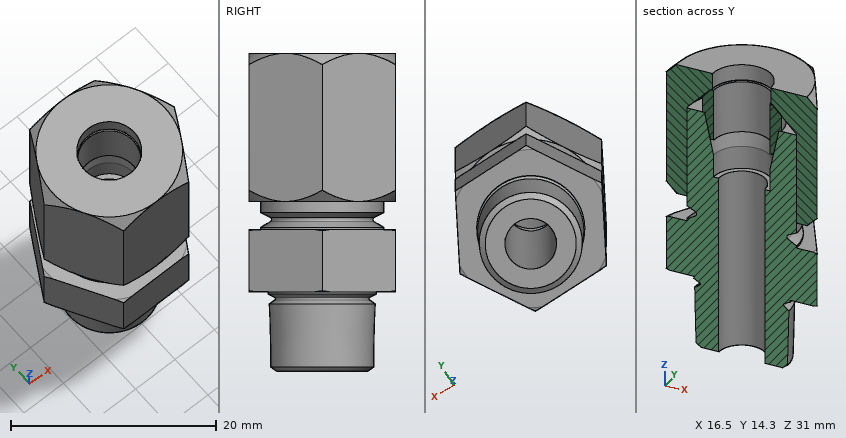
import cadquery as cq
import math

total_height = 31.0
across_flats = 14.3
across_corners = across_flats / math.cos(math.radians(30))
tube_clearance_radius = 3.07
flow_radius = 2.5
thread_radius = 6.0

pipe_end_radius = 4.43
pipe_small_radius = 5.02
pipe_large_radius = 5.18
pipe_chamfer_top = 0.43
pipe_top = 6.57

relief_edge_radius = 4.62
relief_root_radius = 4.55
relief_bottom = 6.98
relief_top = 7.2
collar_radius = 5.27
collar_bottom = 7.53

body_hex_bottom = 7.75
body_hex_top = 13.83
body_hex_face_radius = 7.85
body_hex_chamfer = 0.12

neck_edge_radius = 5.05
neck_root_radius = 4.95
stem_foot_top = 14.05
neck_bottom = 14.6
neck_top = 15.0
stem_thread_bottom = 15.47

nut_bottom = 16.55
nut_face_radius = across_flats / 2
nut_chamfer = across_corners / 2 - nut_face_radius
nut_bore_radius = 3.15

nut_seat_top = 29.3
ferrule_top = 29.15
ferrule_radius = 4.35
ferrule_nose_bottom = 23.55
seat_mouth_radius = 4.03
seat_half_angle = 12.0
tube_stop = 19.47

stem_top = nut_seat_top - (thread_radius - nut_bore_radius)
ferrule_shoulder = nut_seat_top - (ferrule_radius - nut_bore_radius)
ferrule_top_radius = nut_bore_radius + nut_seat_top - ferrule_top
seat_slope = math.tan(math.radians(seat_half_angle))
seat_depth = (seat_mouth_radius - tube_clearance_radius) / seat_slope
ferrule_nose_radius = seat_mouth_radius - (stem_top - ferrule_nose_bottom) * seat_slope


def revolve_profile(points):
    """Turn a closed outline of (radius, height) points about the Z axis."""
    return cq.Workplane("XZ").polyline(points).close().revolve(360, (0, 0), (0, 1))


def chamfered_hexagon(bottom, top, face_radius, chamfer):
    """Hexagonal prism whose corners are turned off conically at both ends."""
    prism = cq.Workplane("XY").workplane(offset=bottom).polygon(6, across_corners).extrude(top - bottom)
    corner_radius = across_corners / 2
    turning = revolve_profile([
        (0, bottom),
        (face_radius, bottom),
        (corner_radius, bottom + chamfer),
        (corner_radius, top - chamfer),
        (face_radius, top),
        (0, top),
    ])
    return prism.intersect(turning)


def make_body():
    """Pipe thread, hexagon and threaded stem in one piece, bored through."""
    pipe_end = (
        cq.Workplane("XZ")
        .lineTo(pipe_end_radius, 0)
        .lineTo(pipe_small_radius, pipe_chamfer_top)
        .lineTo(pipe_large_radius, pipe_top)
        .lineTo(relief_edge_radius, relief_bottom)
        .threePointArc(
            (relief_root_radius, (relief_bottom + relief_top) / 2),
            (relief_edge_radius, relief_top),
        )
        .lineTo(collar_radius, collar_bottom)
        .lineTo(collar_radius, body_hex_bottom)
        .lineTo(0, body_hex_bottom)
        .close()
        .revolve(360, (0, 0), (0, 1))
    )
    hexagon = chamfered_hexagon(body_hex_bottom, body_hex_top, body_hex_face_radius, body_hex_chamfer)
    stem = (
        cq.Workplane("XZ")
        .moveTo(0, body_hex_top)
        .lineTo(thread_radius, body_hex_top)
        .lineTo(thread_radius, stem_foot_top)
        .lineTo(neck_edge_radius, neck_bottom)
        .threePointArc(
            (neck_root_radius, (neck_bottom + neck_top) / 2),
            (neck_edge_radius, neck_top),
        )
        .lineTo(thread_radius, stem_thread_bottom)
        .lineTo(thread_radius, stem_top)
        .lineTo(0, stem_top)
        .close()
        .revolve(360, (0, 0), (0, 1))
    )
    passage = revolve_profile([
        (0, 0),
        (flow_radius, 0),
        (flow_radius, tube_stop),
        (tube_clearance_radius, tube_stop),
        (tube_clearance_radius, stem_top - seat_depth),
        (seat_mouth_radius, stem_top),
        (0, stem_top),
    ])
    return pipe_end.union(hexagon).union(stem).cut(passage)


def make_nut():
    """Hexagon nut with a thread bore, a conical ferrule seat and a tube bore."""
    hexagon = chamfered_hexagon(nut_bottom, total_height, nut_face_radius, nut_chamfer)
    bore = revolve_profile([
        (0, nut_bottom),
        (thread_radius, nut_bottom),
        (thread_radius, stem_top),
        (nut_bore_radius, nut_seat_top),
        (nut_bore_radius, total_height),
        (0, total_height),
    ])
    return hexagon.cut(bore)


def make_ferrule():
    """Clamping ring held between the seat in the nut and the seat in the stem."""
    return revolve_profile([
        (tube_clearance_radius, ferrule_nose_bottom),
        (ferrule_nose_radius, ferrule_nose_bottom),
        (seat_mouth_radius, stem_top),
        (ferrule_radius, stem_top),
        (ferrule_radius, ferrule_shoulder),
        (ferrule_top_radius, ferrule_top),
        (tube_clearance_radius, ferrule_top),
    ])


body = make_body()
nut = make_nut()
ferrule = make_ferrule()

result = cq.Compound.makeCompound([body.solids().val(), nut.solids().val(), ferrule.val()])